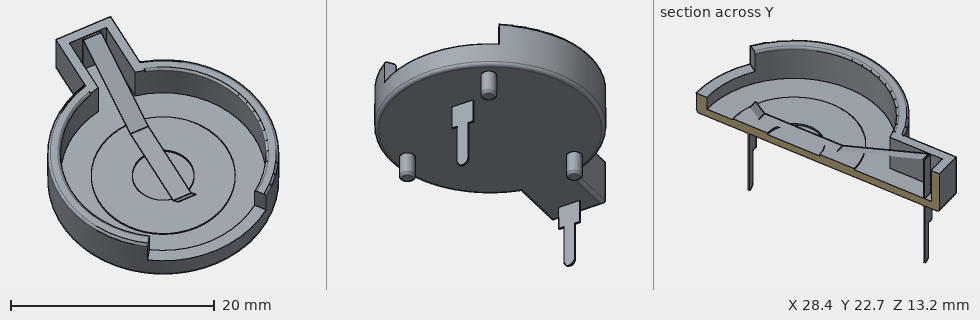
import cadquery as cq
import math

overall_length = 28.35
overall_height = 13.25

outer_radius = 11.358
inner_radius = 10.1
body_height = 4.95
floor_height = 1.0
root_level = floor_height / 2
rim_fillet = 0.25
base_fillet = 0.4

notch_height = 2.5
notch_half_angle = 35.3

box_end = overall_length - outer_radius
box_width = 6.07
box_wall = 1.0

ring_diameter = 14.15
ring_hole_diameter = 6.07
ring_height = 0.15
ring_hole_depth = 0.2

peg_count = 3
peg_diameter = 1.55
peg_length = 2.5
peg_circle_radius = 9.47
peg_fillet = 0.28

sheet = 0.2
arm_sheet = 0.07
strip_width = 1.99
strip_start = -15.3
strip_bend = -5.08
strip_flat_end = 4.03
tip_reach = 1.05
contact_top = 5.98
flat_top = 2.5

prong_length = overall_height - contact_top
prong_width = 1.22
shoulder_width = 2.4
shoulder_length = 2.5
first_prong_start = -15.35
second_prong_start = 5.13


def make_box(start, end, width, bottom, top):
    """Block from X = start to X = end, centred on Y = 0."""
    size = (end - start, width, top - bottom)
    return cq.Workplane("XY").box(*size, centered=(False, True, False)).translate((start, 0, bottom))


def make_cylinder(radius, bottom, top):
    return cq.Workplane("XY").workplane(offset=bottom).circle(radius).extrude(top - bottom)


def make_body():
    """Tray and terminal box, hollowed down to a common floor."""
    rim = make_cylinder(outer_radius, 0, body_height)
    rim = rim.cut(make_cylinder(inner_radius, floor_height, body_height))
    rim = rim.faces(">Z").edges().fillet(rim_fillet)
    box = make_box(-box_end, 0, box_width, 0, body_height)
    box = box.cut(make_cylinder(inner_radius, floor_height, body_height))
    body = rim.union(box)
    body = body.faces("<Z").edges().fillet(base_fillet)
    pocket = make_box(box_wall - box_end, 0, box_width - 2 * box_wall, floor_height, body_height)
    return body.cut(pocket)


def make_notch():
    """Wedge that lowers the wall between two radial planes."""
    reach = 2 * outer_radius
    half_width = reach * math.tan(math.radians(notch_half_angle))
    wedge = cq.Workplane("XY").workplane(offset=notch_height)
    wedge = wedge.polyline([(0, 0), (reach, -half_width), (reach, half_width)]).close()
    return wedge.extrude(body_height - notch_height)


def make_pegs():
    peg = make_cylinder(peg_diameter / 2, -peg_length, root_level)
    peg = peg.faces("<Z").edges().fillet(peg_fillet).translate((0, -peg_circle_radius, 0))
    pegs = cq.Workplane("XY")
    for index in range(peg_count):
        pegs = pegs.add(peg.rotate((0, 0, 0), (0, 0, 1), index * 360 / peg_count))
    return pegs.combine()


def make_spring():
    """Upright post carrying a thinner sloping arm, flat and upturned tip, all of one width."""
    post_inside = strip_start + sheet
    tip_end = strip_flat_end + tip_reach
    profile = [
        (strip_start, root_level),
        (strip_start, contact_top),
        (post_inside, contact_top),
        (strip_bend, flat_top),
        (strip_flat_end, flat_top),
        (tip_end, flat_top + tip_reach),
        (tip_end, flat_top + tip_reach - arm_sheet),
        (strip_flat_end, flat_top - arm_sheet),
        (strip_bend, flat_top - arm_sheet),
        (post_inside, contact_top - arm_sheet),
        (post_inside, root_level),
    ]
    return cq.Workplane("XZ").polyline(profile).close().extrude(strip_width / 2, both=True)


def make_prong(start):
    """Shouldered solder prong with a fully rounded end."""
    end_radius = prong_width / 2
    half_shoulder = shoulder_width / 2
    outline = (
        cq.Workplane("YZ").workplane(offset=start)
        .moveTo(-half_shoulder, root_level)
        .lineTo(-half_shoulder, -shoulder_length)
        .lineTo(-end_radius, -shoulder_length)
        .lineTo(-end_radius, end_radius - prong_length)
        .threePointArc((0, -prong_length), (end_radius, end_radius - prong_length))
        .lineTo(end_radius, -shoulder_length)
        .lineTo(half_shoulder, -shoulder_length)
        .lineTo(half_shoulder, root_level)
        .close()
    )
    return outline.extrude(sheet)


ring_top = floor_height + ring_height
result = make_body().cut(make_notch())
result = result.union(make_cylinder(ring_diameter / 2, root_level, ring_top))
result = result.cut(make_cylinder(ring_hole_diameter / 2, ring_top - ring_hole_depth, ring_top))
result = result.union(make_pegs()).union(make_spring())
for prong_start in (first_prong_start, second_prong_start):
    result = result.union(make_prong(prong_start))